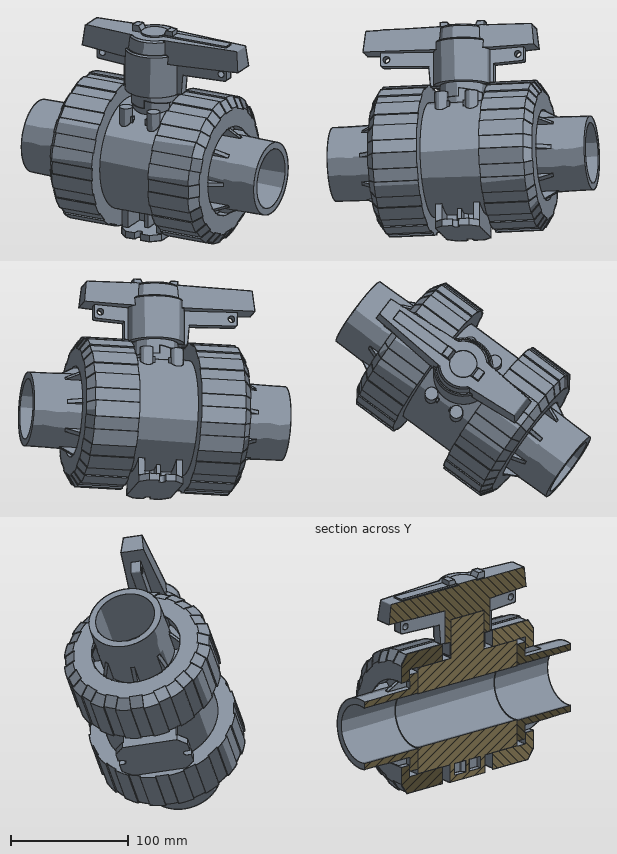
import cadquery as cq

overall_length = 223.0
body_bore_radius = 25.0
pipe_bore_radius = 25.6

body_radius = 48.8
body_half_length = 53.5
stem_radius = 19.0
stem_top = 83.6

pin_radius = 5.5
pin_top = 52.5
pin_x = 13.2
pin_y = 27.2
tab_inner_x = 6.0
tab_top = 44.5
tab_thickness = 3.1

foot_bottom = -64.5
foot_thickness = 5.8
foot_half_x = 19.2
foot_half_y = 31.2
foot_corner = 7.5
notch_radius = 2.7
notch_centre_inset = 3.3
leg_width = 5.5
leg_half_y = 22.7
foot_rib_thickness = 3.5
foot_rib_half_y = 15.2
foot_boss_radius = 5.4

nut_radius = 63.8
nut_inner_end = 27.0
nut_outer_end = 71.4
nut_chamfer_length = 6.0
nut_chamfer_depth = 8.7
nut_wall = 9.0
nut_opening_radius = 38.5
groove_count = 16
groove_width = 11.2
groove_depth = 1.3

pipe_end_radius = 31.5
neck_radius = 32.0
neck_outer_end = 83.0
flange_radius = 44.5
rib_count = 8
rib_thickness = 3.3
rib_top_radius = 38.0

hub_radius = 25.2
hub_bottom = 62.9
hub_shoulder = 100.4
hub_chamfer = 1.3
cap_base_radius = 22.7
cap_top_radius = 21.5
cap_chamfer = 1.5
hub_slot_width = 11.5
hub_slot_top = 93.7
skirt_radius = 19.8
skirt_bottom = 50.5
skirt_window_width = 18.3
skirt_window_high = 57.5
skirt_window_low = 54.9

grip_bottom_at_end = 94.3
grip_bottom_at_hub = 92.5
grip_top = 112.6
grip_left = -63.8
grip_right = 85.2
grip_middle_half_width = 16.7
grip_narrowing = 0.078
grip_draft = 6.3
grip_end_round = 1.3

mark_height = 1.3
mark_disc_radius = 11.5
mark_strip_end = 71.0
mark_strip_width = 9.4
lug_width = 9.0
lug_top = 118.2
lug_outer_x = 19.2
lug_crest_x = 13.2
lug_foot_x = 10.5

web_thickness = 8.5
web_left = -53.3
web_right = 71.0
web_top = 96.0
web_end_bottom = 82.0
web_root_bottom = 80.5
web_root_left = -27.2
web_root_right = 29.2
web_foot_right = 27.7
web_corner_round = 1.8
web_hole_radius = 2.79
web_hole_inset = 5.1
web_hole_z = 87.9


def box_between(x0, x1, y0, y1, z0, z1):
    """Axis-aligned box between two corners."""
    return cq.Workplane("XY").box(x1 - x0, y1 - y0, z1 - z0, centered=False).translate((x0, y0, z0))


def cylinder_up(radius, z0, z1, x=0.0, y=0.0):
    """Vertical cylinder from z0 to z1."""
    return cq.Workplane("XY", origin=(x, y, z0)).circle(radius).extrude(z1 - z0)


def revolve_about_x(points):
    """Ring turned about X from (x, radius) points."""
    return cq.Workplane("XY").polyline(points).close().revolve(360, (0, 0, 0), (1, 0, 0))


def plate_xz(points, thickness):
    """Plate with an XZ outline, centred on y = 0."""
    return cq.Workplane("XZ").polyline(points).close().extrude(thickness / 2, both=True)


def make_stop_pin(side_x, side_y):
    """Round pin with its tab, reaching down into the body."""
    pin = cylinder_up(pin_radius, 0, pin_top, side_x * pin_x, side_y * pin_y)
    tab_length = pin_x - tab_inner_x
    tab_x = side_x * (pin_x + tab_inner_x) / 2
    tab = cq.Workplane("XY", origin=(tab_x, side_y * pin_y, 0)).rect(tab_length, tab_thickness)
    tab = tab.extrude(tab_top)
    return pin.union(tab)


def make_foot():
    """Notched base plate hung from the body by two legs, a cross of ribs and a round boss."""
    plate_top = foot_bottom + foot_thickness
    foot = box_between(-foot_half_x, foot_half_x, -foot_half_y, foot_half_y, foot_bottom, plate_top)
    foot = foot.edges("|Z").chamfer(foot_corner)
    notch_y = foot_half_y - notch_centre_inset
    for side in (-1, 1):
        foot = foot.cut(cylinder_up(notch_radius, foot_bottom, plate_top, 0, side * notch_y))
        mouth = cq.Workplane("XY", origin=(0, side * foot_half_y, foot_bottom))
        foot = foot.cut(mouth.rect(2 * notch_radius, 2 * notch_centre_inset).extrude(foot_thickness))
    leg_inner_x = foot_half_x - leg_width
    half_rib = foot_rib_thickness / 2
    leg_top = -(body_radius + body_bore_radius) / 2
    foot = foot.union(box_between(-foot_half_x, -leg_inner_x, -leg_half_y, leg_half_y, plate_top, leg_top))
    foot = foot.union(box_between(leg_inner_x, foot_half_x, -leg_half_y, leg_half_y, plate_top, leg_top))
    foot = foot.union(box_between(-half_rib, half_rib, -foot_rib_half_y, foot_rib_half_y, plate_top, leg_top))
    foot = foot.union(box_between(-leg_inner_x, leg_inner_x, -half_rib, half_rib, plate_top, leg_top))
    return foot.union(cylinder_up(foot_boss_radius, plate_top, leg_top))


def make_body():
    """Bored barrel with the stem, four stop pins and the mounting foot."""
    body = cq.Workplane("YZ").circle(body_radius).extrude(body_half_length, both=True)
    body = body.union(cylinder_up(stem_radius, 0, stem_top))
    for side_x in (-1, 1):
        for side_y in (-1, 1):
            body = body.union(make_stop_pin(side_x, side_y))
    body = body.union(make_foot())
    return body.cut(cq.Workplane("YZ").circle(body_bore_radius).extrude(body_half_length, both=True))


def nut_ring(outer_offset, inner_radius):
    """Ring with the chamfered outer outline of the nut, moved inward by outer_offset."""
    rim = nut_radius - outer_offset
    return revolve_about_x([
        (nut_inner_end, inner_radius),
        (nut_inner_end, rim),
        (nut_outer_end - nut_chamfer_length, rim),
        (nut_outer_end, rim - nut_chamfer_depth),
        (nut_outer_end, inner_radius),
    ])


def make_nut():
    """Nut on the +X side: grip grooves around the rim, cavity for the body, front wall with an opening."""
    nut = nut_ring(0, nut_opening_radius)
    skin = nut_ring(0, body_radius).cut(nut_ring(groove_depth, body_radius))
    half_groove = groove_width / 2
    for i in range(groove_count):
        groove = box_between(nut_inner_end, nut_outer_end, -half_groove, half_groove, 0, nut_radius)
        groove = groove.rotate((0, 0, 0), (1, 0, 0), i * 360 / groove_count)
        nut = nut.cut(groove.intersect(skin))
    cavity_end = nut_outer_end - nut_wall
    cavity = cq.Workplane("YZ", origin=(nut_inner_end, 0, 0)).circle(body_radius)
    cavity = cavity.extrude(cavity_end - nut_inner_end)
    return nut.cut(cavity)


def make_connector():
    """Connector on the +X side: flange held by the nut, ribbed neck and slightly drafted pipe end."""
    flange_face = nut_outer_end - nut_wall
    connector = revolve_about_x([
        (body_half_length, pipe_bore_radius),
        (body_half_length, flange_radius),
        (flange_face, flange_radius),
        (flange_face, neck_radius),
        (neck_outer_end, neck_radius),
        (overall_length / 2, pipe_end_radius),
        (overall_length / 2, pipe_bore_radius),
    ])
    rib_foot_radius = (pipe_bore_radius + pipe_end_radius) / 2
    rib_outline = [
        (body_half_length, rib_foot_radius),
        (body_half_length, rib_top_radius),
        (nut_outer_end, rib_top_radius),
        (neck_outer_end, neck_radius),
        (neck_outer_end, rib_foot_radius),
    ]
    for i in range(rib_count):
        rib = plate_xz(rib_outline, rib_thickness)
        connector = connector.union(rib.rotate((0, 0, 0), (1, 0, 0), i * 360 / rib_count))
    return connector


def make_hub():
    """Slotted hub with a tapered cap and a thin skirt that has two sloping windows in its lower edge."""
    hub = cq.Workplane("XZ").polyline([
        (0, skirt_bottom),
        (skirt_radius, skirt_bottom),
        (skirt_radius, hub_bottom),
        (hub_radius, hub_bottom),
        (hub_radius, hub_shoulder - hub_chamfer),
        (hub_radius - hub_chamfer, hub_shoulder),
        (cap_base_radius, hub_shoulder),
        (cap_top_radius, grip_top - cap_chamfer),
        (cap_top_radius - cap_chamfer, grip_top),
        (0, grip_top),
    ]).close().revolve(360, (0, 0, 0), (0, 1, 0))
    half_slot = hub_slot_width / 2
    hub = hub.cut(box_between(-hub_radius, hub_radius, -half_slot, half_slot, hub_bottom, hub_slot_top))
    window = cq.Workplane("XZ").polyline([
        (0, skirt_bottom),
        (0, skirt_window_high),
        (skirt_window_width, skirt_window_low),
        (skirt_window_width, skirt_bottom),
    ]).close().extrude(hub_radius)
    for turn in (0, 180):
        hub = hub.cut(window.rotate((0, 0, 0), (0, 0, 1), turn))
    return hub


def make_grip():
    """Drafted bar, widest over the stem, with a slightly sagging underside."""
    left_half_width = grip_middle_half_width + grip_narrowing * grip_left
    right_half_width = grip_middle_half_width - grip_narrowing * grip_right
    plan = [
        (grip_left, -left_half_width),
        (0, -grip_middle_half_width),
        (grip_right, -right_half_width),
        (grip_right, right_half_width),
        (0, grip_middle_half_width),
        (grip_left, left_half_width),
    ]
    grip = cq.Workplane("XY", origin=(0, 0, grip_bottom_at_hub)).polyline(plan).close()
    grip = grip.extrude(grip_top - grip_bottom_at_hub, taper=grip_draft)
    grip = grip.edges("|Y").edges(">Z").fillet(grip_end_round)
    for end_x, hub_x in ((grip_left, -hub_radius), (grip_right, hub_radius)):
        wedge = [(end_x, grip_bottom_at_hub), (hub_x, grip_bottom_at_hub), (end_x, grip_bottom_at_end)]
        grip = grip.cut(plate_xz(wedge, 2 * grip_middle_half_width))
    return grip


def make_web():
    """Drilled plate along the underside of the grip, deeper where it crosses the hub."""
    outline = [
        (web_left, web_top),
        (web_left, web_end_bottom),
        (web_root_left, web_root_bottom),
        (web_root_left, hub_bottom),
        (web_foot_right, hub_bottom),
        (web_root_right, web_root_bottom),
        (web_right, web_end_bottom),
        (web_right, web_top),
    ]
    web = plate_xz(outline, web_thickness)
    for end in ("<X", ">X"):
        web = web.edges("|Y").edges(end).edges("<Z").fillet(web_corner_round)
    hole_centres = [(web_left + web_hole_inset, web_hole_z), (web_right - web_hole_inset, web_hole_z)]
    holes = cq.Workplane("XZ").pushPoints(hole_centres).circle(web_hole_radius)
    return web.cut(holes.extrude(web_thickness, both=True))


def make_top_marks():
    """Raised disc and strip, and the two lugs beside the disc."""
    half_strip = mark_strip_width / 2
    mark_top = grip_top + mark_height
    marks = cylinder_up(mark_disc_radius, grip_top, mark_top)
    marks = marks.union(box_between(0, mark_strip_end, -half_strip, half_strip, grip_top, mark_top))
    for side in (-1, 1):
        lug = [
            (side * lug_foot_x, grip_top),
            (side * lug_crest_x, lug_top),
            (side * lug_outer_x, lug_top),
            (side * lug_outer_x, grip_top),
        ]
        marks = marks.union(plate_xz(lug, lug_width))
    return marks


def make_handle():
    """Hub, grip, web and top marks in one piece, with a recess that fits over the stem."""
    handle = make_hub().union(make_grip()).union(make_web()).union(make_top_marks())
    return handle.cut(cylinder_up(stem_radius, skirt_bottom, stem_top))


body = make_body()
handle = make_handle()
nuts = [make_nut().rotate((0, 0, 0), (0, 0, 1), turn) for turn in (0, 180)]
connectors = [make_connector().rotate((0, 0, 0), (0, 0, 1), turn) for turn in (0, 180)]

result = cq.Compound.makeCompound([
    body.val(),
    handle.val(),
    *[nut.val() for nut in nuts],
    *[connector.val() for connector in connectors],
])